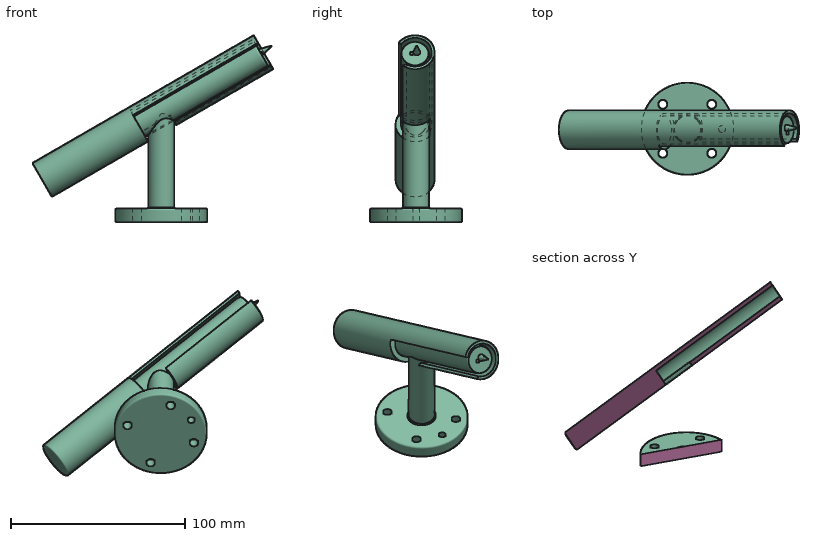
import cadquery as cq
import math

BASE_DIAMETER = 53.0
BASE_HEIGHT = 8.0
BASE_EDGE = 1.1
PITCH_RADIUS = 19.9
SCREW_HOLE_DIAMETER = 5.0
SCREW_HOLE_COUNT = 4
SIDE_HOLE_DIAMETER = 4.0

POST_DIAMETER = 15.0
FOOT_FLARE = 0.7

TILT = 30
END_X = 58.7
END_Y = -0.5
END_Z = 97.76
HOUSING_LENGTH = 146.9
HOUSING_DIAMETER = 22.5
BORE_DIAMETER = 19.0
BORE_DEPTH = 83.0
TAIL_EDGE = 0.7
OUTSIDE = HOUSING_DIAMETER

WINDOW_TOP_ANGLE = 33.5
LIP_UP = -8.0
LIP_FRONT = 5.1
LIP_SLOPE = -22.7
NOTCH_LENGTH = 18.7
NOTCH_SIDE_CLEARANCE = 0.4

CORE_DIAMETER = 16.3
CORE_RECESS = 1.7
CORE_EDGE_RADIAL = 0.4
CORE_EDGE_AXIAL = 1.4
NIB_DIAMETER = 4.0
NIB_UP = 0.8
NIB_FRONT = -1.0
NIB_TIP_DIAMETER = 0.5
NIB_LENGTH = 7.3
PIN_DIAMETER = 2.0
PIN_FRONT = 2.0
PIN_HEIGHT = 0.8
PIN_EDGE = 0.4

TILT_COS = math.cos(math.radians(TILT))
TILT_SIN = math.sin(math.radians(TILT))
AXIS_DIRECTION = cq.Vector(TILT_COS, 0, TILT_SIN)
UP_ACROSS = cq.Vector(-TILT_SIN, 0, TILT_COS)


def tilted_plane(distance):
    """Plane across the housing axis, at a distance beyond the open end."""
    origin = cq.Vector(END_X, END_Y, END_Z) + AXIS_DIRECTION * distance
    return cq.Workplane(cq.Plane(origin=origin, xDir=UP_ACROSS, normal=AXIS_DIRECTION))


def make_base():
    base = cq.Workplane("XY").circle(BASE_DIAMETER / 2).extrude(BASE_HEIGHT)
    base = base.edges().fillet(BASE_EDGE)
    screw_holes = (
        cq.Workplane("XY")
        .polarArray(PITCH_RADIUS, 45, 360, SCREW_HOLE_COUNT)
        .circle(SCREW_HOLE_DIAMETER / 2)
        .extrude(BASE_HEIGHT)
    )
    side_hole = (
        cq.Workplane("XY").center(PITCH_RADIUS, 0).circle(SIDE_HOLE_DIAMETER / 2).extrude(BASE_HEIGHT)
    )
    return base.cut(screw_holes).cut(side_hole)


def make_post():
    """Flared-foot post whose top is a saddle cut to the round of the core."""
    radius = POST_DIAMETER / 2
    axis_height = END_Z - END_X * math.tan(math.radians(TILT))
    post = (
        cq.Workplane("XZ")
        .moveTo(0, BASE_HEIGHT)
        .lineTo(radius + FOOT_FLARE, BASE_HEIGHT)
        .lineTo(radius, BASE_HEIGHT + FOOT_FLARE)
        .lineTo(radius, axis_height)
        .lineTo(0, axis_height)
        .close()
        .revolve(360, (0, 0, 0), (0, 1, 0))
    )
    saddle = tilted_plane(-HOUSING_LENGTH).circle(CORE_DIAMETER / 2).extrude(HOUSING_LENGTH)
    above_axis = (
        tilted_plane(-HOUSING_LENGTH)
        .center(OUTSIDE / 2, 0)
        .rect(OUTSIDE, OUTSIDE)
        .extrude(HOUSING_LENGTH)
    )
    return post.cut(saddle).cut(above_axis)


def make_housing():
    housing = tilted_plane(-HOUSING_LENGTH).circle(HOUSING_DIAMETER / 2).extrude(HOUSING_LENGTH)
    housing = housing.faces("<X").edges().fillet(TAIL_EDGE)
    bore = tilted_plane(-BORE_DEPTH).circle(BORE_DIAMETER / 2).extrude(BORE_DEPTH)

    top_edge = OUTSIDE * math.tan(math.radians(WINDOW_TOP_ANGLE))
    bottom_edge = LIP_UP + (OUTSIDE - LIP_FRONT) * math.tan(math.radians(LIP_SLOPE))
    window = (
        tilted_plane(-BORE_DEPTH)
        .polyline([(0, 0), (top_edge, OUTSIDE), (bottom_edge, OUTSIDE), (LIP_UP, LIP_FRONT)])
        .close()
        .extrude(BORE_DEPTH)
    )

    notch_side = -POST_DIAMETER / 2 - NOTCH_SIDE_CLEARANCE + END_Y
    notch = (
        tilted_plane(-BORE_DEPTH)
        .moveTo(-OUTSIDE, notch_side)
        .lineTo(-OUTSIDE, OUTSIDE)
        .lineTo(0, OUTSIDE)
        .lineTo(0, notch_side)
        .close()
        .extrude(NOTCH_LENGTH)
    )
    return housing.cut(bore).cut(window).cut(notch)


def make_core():
    length = BORE_DEPTH - CORE_RECESS
    core = tilted_plane(-BORE_DEPTH).circle(CORE_DIAMETER / 2).extrude(length)
    return core.faces(">X").chamfer(CORE_EDGE_AXIAL, CORE_EDGE_RADIAL)


def make_nib():
    return (
        tilted_plane(-CORE_RECESS)
        .center(NIB_UP, NIB_FRONT)
        .circle(NIB_DIAMETER / 2)
        .workplane(offset=NIB_LENGTH)
        .circle(NIB_TIP_DIAMETER / 2)
        .loft()
    )


def make_pin():
    pin = tilted_plane(-CORE_RECESS).center(0, PIN_FRONT).circle(PIN_DIAMETER / 2).extrude(PIN_HEIGHT)
    return pin.faces(">X").edges().fillet(PIN_EDGE)


base = make_base()
post = make_post()
housing = make_housing()
core = make_core()
nib = make_nib()
pin = make_pin()

result = cq.Compound.makeCompound(
    [base.val(), post.val(), housing.val(), core.val(), nib.val(), pin.val()]
)